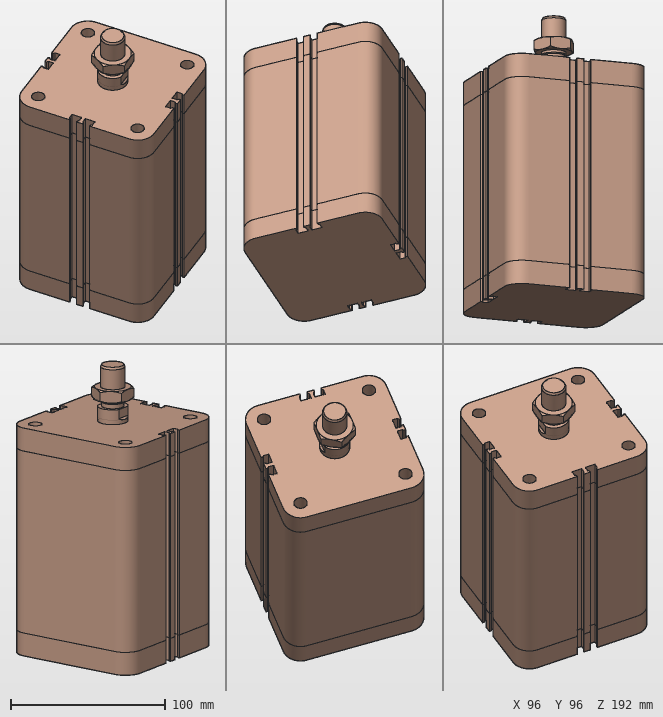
import cadquery as cq
import math

TOTAL_HEIGHT = 192.0

PROFILE_SIDE = 96.0
PROFILE_CORNER_RADIUS = 12.0
HOUSING_HEIGHT = 154.0
CAP_HEIGHT = 15.5

SLOT_SPACING = 9.6
SLOT_MOUTH_WIDTH = 5.0
SLOT_WIDTH = 7.0
SLOT_DEPTH = 5.5
SLOT_LIP = 1.2
SLOT_SIDE_ANGLES = (-90.0, 0.0, 90.0)

MOUNT_HOLE_DIAMETER = 8.6
MOUNT_HOLE_PITCH = 72.0

ROD_DIAMETER = 20.0
ROD_STEP_Z = 156.7
ROD_STEP_HEIGHT = 0.4
ROD_LOWER_DIAMETER = 19.8
ROD_SHOULDER_Z = 164.0
ROD_FLATS_BOTTOM_Z = 157.8
ROD_ACROSS_FLATS = 17.0
NECK_DIAMETER = 14.5
NECK_TOP_Z = 166.8
THREAD_DIAMETER = 16.0
THREAD_BOTTOM_CHAMFER = 0.5
THREAD_TIP_CHAMFER = 1.5
THREAD_TIP_INSET = 0.8

NUT_ACROSS_FLATS = 24.0
NUT_CHAMFER_ANGLE = 30.0
NUT_HEIGHT = 7.9
NUT_BOTTOM_Z = 169.2
HEX_SIDES = 6

HALF_SIDE = PROFILE_SIDE / 2
BARREL_HEIGHT = HOUSING_HEIGHT - 2 * CAP_HEIGHT
FRONT_CAP_Z = HOUSING_HEIGHT - CAP_HEIGHT
SLOT_TAPER = (SLOT_WIDTH - SLOT_MOUTH_WIDTH) / 2


def slot_cutter(centre_x, height):
    """Lipped slot open on the -Y side, running along Z from 0."""
    mouth = SLOT_MOUTH_WIDTH / 2
    inner = SLOT_WIDTH / 2
    opening_y = -HALF_SIDE
    lip_y = opening_y + SLOT_LIP
    flare_y = lip_y + SLOT_TAPER
    floor_y = opening_y + SLOT_DEPTH
    outline = [
        (centre_x - mouth, opening_y),
        (centre_x + mouth, opening_y),
        (centre_x + mouth, lip_y),
        (centre_x + inner, flare_y),
        (centre_x + inner, floor_y),
        (centre_x - inner, floor_y),
        (centre_x - inner, flare_y),
        (centre_x - mouth, lip_y),
    ]
    return cq.Workplane("XY").polyline(outline).close().extrude(height)


def profile_section(bottom_z, height):
    """Length of the rounded square profile with its three pairs of slots."""
    section = cq.Workplane("XY").rect(PROFILE_SIDE, PROFILE_SIDE).extrude(height)
    section = section.edges("|Z").fillet(PROFILE_CORNER_RADIUS)
    for angle in SLOT_SIDE_ANGLES:
        for centre_x in (-SLOT_SPACING / 2, SLOT_SPACING / 2):
            cutter = slot_cutter(centre_x, height)
            section = section.cut(cutter.rotate((0, 0, 0), (0, 0, 1), angle))
    return section.translate((0, 0, bottom_z))


def make_front_cap():
    """Upper cap with the rod bore and four mounting holes through it."""
    cap = profile_section(FRONT_CAP_Z, CAP_HEIGHT)
    mount_holes = (
        cq.Workplane("XY", origin=(0, 0, FRONT_CAP_Z))
        .rect(MOUNT_HOLE_PITCH, MOUNT_HOLE_PITCH, forConstruction=True)
        .vertices()
        .circle(MOUNT_HOLE_DIAMETER / 2)
        .extrude(CAP_HEIGHT)
    )
    rod_bore = (
        cq.Workplane("XY", origin=(0, 0, FRONT_CAP_Z))
        .circle(ROD_LOWER_DIAMETER / 2)
        .extrude(CAP_HEIGHT)
    )
    return cap.cut(mount_holes).cut(rod_bore)


def make_piston_rod():
    """Stepped rod, turned about Z, with two wrench flats facing -X and +X."""
    rod_radius = ROD_DIAMETER / 2
    lower_radius = ROD_LOWER_DIAMETER / 2
    neck_radius = NECK_DIAMETER / 2
    thread_radius = THREAD_DIAMETER / 2
    half_profile = [
        (0, FRONT_CAP_Z),
        (lower_radius, FRONT_CAP_Z),
        (lower_radius, ROD_STEP_Z),
        (rod_radius, ROD_STEP_Z + ROD_STEP_HEIGHT),
        (rod_radius, ROD_SHOULDER_Z),
        (neck_radius, ROD_SHOULDER_Z),
        (neck_radius, NECK_TOP_Z),
        (thread_radius, NECK_TOP_Z + THREAD_BOTTOM_CHAMFER),
        (thread_radius, TOTAL_HEIGHT - THREAD_TIP_CHAMFER),
        (thread_radius - THREAD_TIP_INSET, TOTAL_HEIGHT),
        (0, TOTAL_HEIGHT),
    ]
    rod = cq.Workplane("XZ").polyline(half_profile).close().revolve(360, (0, 0), (0, 1))
    return rod.cut(wrench_flat(1)).cut(wrench_flat(-1))


def wrench_flat(side):
    """Cutter for one flat, running out downwards at 45 degrees; side is +1 or -1 along X."""
    flat_x = ROD_ACROSS_FLATS / 2
    outer_x = ROD_DIAMETER / 2
    runout = outer_x - flat_x
    outline = [
        (side * flat_x, ROD_SHOULDER_Z),
        (side * outer_x, ROD_SHOULDER_Z),
        (side * outer_x, ROD_FLATS_BOTTOM_Z - runout),
        (side * flat_x, ROD_FLATS_BOTTOM_Z),
    ]
    return cq.Workplane("XZ").polyline(outline).close().extrude(outer_x, both=True)


def make_nut():
    """Hexagon nut with corners on the Y axis and 30 degree chamfers at both ends."""
    flat_radius = NUT_ACROSS_FLATS / 2
    half_corner_angle = 180 / HEX_SIDES
    corner_radius = flat_radius / math.cos(math.radians(half_corner_angle))
    chamfer_height = (corner_radius - flat_radius) * math.tan(math.radians(NUT_CHAMFER_ANGLE))
    hexagon = (
        cq.Workplane("XY")
        .polygon(HEX_SIDES, 2 * corner_radius)
        .extrude(NUT_HEIGHT)
        .rotate((0, 0, 0), (0, 0, 1), half_corner_angle)
    )
    envelope_profile = [
        (0, 0),
        (flat_radius, 0),
        (corner_radius, chamfer_height),
        (corner_radius, NUT_HEIGHT - chamfer_height),
        (flat_radius, NUT_HEIGHT),
        (0, NUT_HEIGHT),
    ]
    envelope = cq.Workplane("XZ").polyline(envelope_profile).close().revolve(360, (0, 0), (0, 1))
    bore = cq.Workplane("XY").circle(THREAD_DIAMETER / 2).extrude(NUT_HEIGHT)
    return hexagon.intersect(envelope).cut(bore).translate((0, 0, NUT_BOTTOM_Z))


rear_cap = profile_section(0, CAP_HEIGHT)
barrel = profile_section(CAP_HEIGHT, BARREL_HEIGHT)
front_cap = make_front_cap()
piston_rod = make_piston_rod()
nut = make_nut()

result = cq.Compound.makeCompound(
    [rear_cap.val(), barrel.val(), front_cap.val(), piston_rod.val(), nut.val()]
)